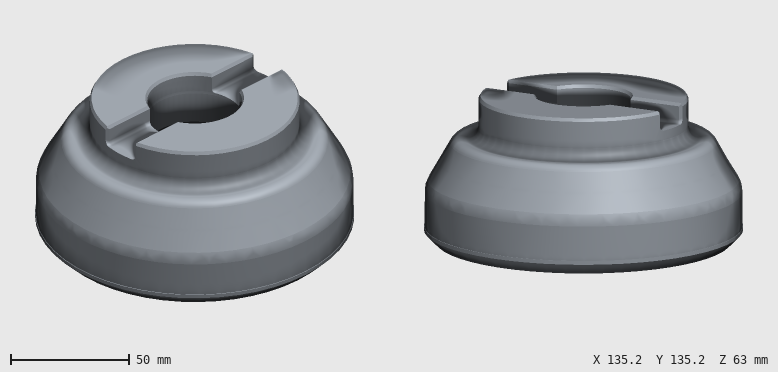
import cadquery as cq
import math

HEIGHT = 63.0
CUT = 6.8

BASE_RADIUS = 67.6
BASE_HEIGHT = 5.7
BASE_CHAMFER = 4.9

BODY_RADIUS = 134.5 / 2
LIP_HEIGHT = 0.8
CONE_START_HEIGHT = 24.0
CONE_ANGLE = 30.0
SHOULDER_HEIGHT = 45.2
HUB_RADIUS = 89.0 / 2
BELLY_FILLET = 10.0
SHOULDER_FILLET = BELLY_FILLET / 2
HUB_FILLET = BELLY_FILLET / 2

BREAK_WIDTH = 0.8
BREAK_DEPTH = 1.4

SLOT_HALF_WIDTH = 8.4
SLOT_FLOOR = 54.2
SLOT_ROOT_FILLET = 1.6
SLOT_FLAT_HALF_WIDTH = SLOT_HALF_WIDTH - SLOT_ROOT_FILLET

MOUTH_RADIUS = 40.2 / 2
BORE_RADIUS = 40.0 / 2
BORE_STEP_HEIGHT = 1.2
CHAMBER_RADIUS = 56.1 / 2
CHAMBER_TOP = 39.0
CHAMBER_BAND = 0.5
CHAMBER_FLARE = CHAMBER_RADIUS - BORE_RADIUS
FLARE_BOTTOM = CHAMBER_TOP - CHAMBER_FLARE
CHAMBER_FLOOR = FLARE_BOTTOM - CHAMBER_BAND - CHAMBER_FLARE
HOLE_RADIUS = 22.0 / 2
HOLE_CHAMFER = 0.7


def turned(points):
    """Revolve an (r, z) outline about the Z axis."""
    return cq.Workplane("XZ").polyline(points).close().revolve(360, (0, 0), (0, 1))


def fillet_ring(body, radius, height, size):
    """Round the circular edge at a given radius and height."""
    tol = 0.07
    ring = cq.selectors.BoxSelector(
        (-radius - tol, -radius - tol, height - tol),
        (radius + tol, radius + tol, height + tol),
        boundingbox=True,
    )
    outermost = cq.selectors.RadiusNthSelector(-1)
    return body.edges(ring).edges(outermost).fillet(size)


def make_blank():
    """Solid outside shape of the housing."""
    lip_top = BASE_HEIGHT + LIP_HEIGHT
    cone_rise = SHOULDER_HEIGHT - CONE_START_HEIGHT
    shoulder_radius = BODY_RADIUS - cone_rise * math.tan(math.radians(CONE_ANGLE))
    blank = turned([
        (0, BASE_HEIGHT),
        (BASE_RADIUS, BASE_HEIGHT),
        (BASE_RADIUS, lip_top),
        (BODY_RADIUS, lip_top),
        (BODY_RADIUS, CONE_START_HEIGHT),
        (shoulder_radius, SHOULDER_HEIGHT),
        (HUB_RADIUS, SHOULDER_HEIGHT),
        (HUB_RADIUS, HEIGHT - BREAK_DEPTH),
        (HUB_RADIUS - BREAK_WIDTH, HEIGHT),
        (0, HEIGHT),
    ])
    blank = fillet_ring(blank, BODY_RADIUS, CONE_START_HEIGHT, BELLY_FILLET)
    blank = fillet_ring(blank, shoulder_radius, SHOULDER_HEIGHT, SHOULDER_FILLET)
    return fillet_ring(blank, HUB_RADIUS, SHOULDER_HEIGHT, HUB_FILLET)


def make_bore():
    """Cutter for the bore, the flared chamber and the through hole."""
    return turned([
        (0, 0),
        (HOLE_RADIUS, 0),
        (HOLE_RADIUS, CHAMBER_FLOOR - HOLE_CHAMFER),
        (HOLE_RADIUS + HOLE_CHAMFER, CHAMBER_FLOOR),
        (BORE_RADIUS, CHAMBER_FLOOR),
        (CHAMBER_RADIUS, CHAMBER_FLOOR + CHAMBER_FLARE),
        (CHAMBER_RADIUS, FLARE_BOTTOM),
        (BORE_RADIUS, CHAMBER_TOP),
        (BORE_RADIUS, SLOT_FLOOR - BORE_STEP_HEIGHT),
        (MOUTH_RADIUS, SLOT_FLOOR),
        (MOUTH_RADIUS, HEIGHT - BREAK_DEPTH),
        (MOUTH_RADIUS + BREAK_WIDTH, HEIGHT),
        (0, HEIGHT),
    ])


def slot_section(plane, half_width):
    """U-shaped slot section whose root arcs end at the edge of the flat floor."""
    root = half_width - SLOT_FLAT_HALF_WIDTH
    diagonal = math.radians(45)
    mid_x = SLOT_FLAT_HALF_WIDTH + root * math.sin(diagonal)
    mid_z = SLOT_FLOOR + root * (1 - math.cos(diagonal))
    top = HEIGHT + CUT
    return (
        plane.moveTo(-half_width, top)
        .lineTo(-half_width, SLOT_FLOOR + root)
        .threePointArc((-mid_x, mid_z), (-SLOT_FLAT_HALF_WIDTH, SLOT_FLOOR))
        .lineTo(SLOT_FLAT_HALF_WIDTH, SLOT_FLOOR)
        .threePointArc((mid_x, mid_z), (half_width, SLOT_FLOOR + root))
        .lineTo(half_width, top)
        .close()
    )


def make_slot():
    """Slot cutter with a bevelled top edge."""
    half_length = HUB_RADIUS + CUT
    slot = slot_section(cq.Workplane("XZ"), SLOT_HALF_WIDTH).extrude(half_length, both=True)
    bevel = (
        cq.Workplane("XZ")
        .moveTo(-SLOT_HALF_WIDTH, HEIGHT - BREAK_DEPTH)
        .lineTo(SLOT_HALF_WIDTH, HEIGHT - BREAK_DEPTH)
        .lineTo(SLOT_HALF_WIDTH + BREAK_WIDTH, HEIGHT)
        .lineTo(-SLOT_HALF_WIDTH - BREAK_WIDTH, HEIGHT)
        .close()
        .extrude(half_length, both=True)
    )
    return slot.union(bevel)


def make_slot_flare():
    """Cutter that breaks the slot edges where the slot leaves the hub at -Y."""
    wall_end = math.sqrt(HUB_RADIUS**2 - (SLOT_HALF_WIDTH + BREAK_WIDTH) ** 2)
    flare_length = 2 * BREAK_DEPTH
    inner = cq.Workplane("XZ", origin=(0, BREAK_DEPTH - wall_end, 0))
    section = slot_section(inner, SLOT_HALF_WIDTH)
    outer_half_width = SLOT_HALF_WIDTH + BREAK_WIDTH * flare_length / BREAK_DEPTH
    flare = slot_section(section.workplane(offset=flare_length), outer_half_width)
    return flare.loft(ruled=True, combine=True)


def make_housing():
    housing = make_blank().cut(make_bore()).cut(make_slot())
    flare = make_slot_flare()
    for angle in (0, 180):
        housing = housing.cut(flare.rotate((0, 0, 0), (0, 0, 1), angle))
    return housing


def make_base_disc():
    """Chamfered disc under the housing, bored through."""
    return turned([
        (HOLE_RADIUS, 0),
        (BASE_RADIUS - BASE_CHAMFER, 0),
        (BASE_RADIUS, BASE_CHAMFER),
        (BASE_RADIUS, BASE_HEIGHT),
        (HOLE_RADIUS, BASE_HEIGHT),
    ])


housing = make_housing()
base_disc = make_base_disc()
result = cq.Compound.makeCompound([housing.val(), base_disc.val()])